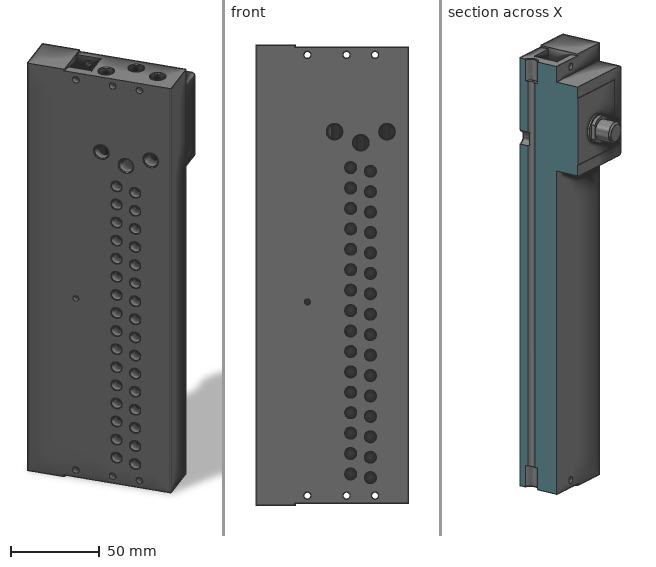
import cadquery as cq

UP = (0, 0, 1)
DOWN = (0, 0, -1)
INWARD = (0, 1, 0)

WIDTH = 86.0
BODY_DEPTH = 25.0
HEIGHT = 259.0
EDGE_RADIUS = 0.65

PAD_WIDTH = 22.3
PAD_HEIGHT = 1.0

CHANNEL_X = (PAD_WIDTH, 36.5)
CHANNEL_Y = (5.5, 21.0)

PORT_DIAMETER = 8.3
PORT_CHAMFER = 0.5
BORE_DIAMETER = 6.0
END_PORT_DEPTH = 13.0
FRONT_PORT_SETBACK = 1.8
LOW_PORT_Z = 204.0
HIGH_PORT_Z = 210.3
GALLERIES = [
    (44.3, 45.0, 8.0, HIGH_PORT_Z),
    (59.0, 59.0, 17.0, LOW_PORT_Z),
    (73.8, 73.0, 11.7, HIGH_PORT_Z),
]

OUTLET_DIAMETER = 6.2
OUTLET_CHAMFER = 0.3
OUTLET_DEPTH = 7.8
OUTLET_COUNT = 16
OUTLET_SPAN = 172.5
OUTLET_PITCH = OUTLET_SPAN / (OUTLET_COUNT - 1)
OUTLET_COLUMNS = [(53.4, 190.0), (64.5, 188.0)]

MOUNT_DIAMETER = 4.0
MOUNT_XS = (29.0, 51.0, 67.0)
MOUNT_INSET = 5.5
LOCATING_DIAMETER = 3.4
LOCATING_DEPTH = CHANNEL_Y[0]
LOCATING_Z = 114.5

BOX_DEPTH = 14.5
BOX_BOTTOM = 195.0
BOX_HEIGHT = 53.5
BOX_RADIUS = 2.0
BOX_BACK = BODY_DEPTH + BOX_DEPTH

LABEL_MARGIN = 6.7
LABEL_THICKNESS = 0.3

CONNECTOR_X = 25.5
CONNECTOR_Z = 218.5
FLANGE_DIAMETER = 17.0
FLANGE_END = 41.2
COLLAR_DIAMETER = 15.5
COLLAR_FLATS = 13.0
COLLAR_END = 43.5
PLUG_DIAMETER = 12.2
PLUG_END = 53.5
PLUG_CHAMFER = 1.0


def block(x_range, y_range, z_range):
    """Box between the given limits."""
    size = [high - low for low, high in (x_range, y_range, z_range)]
    return cq.Workplane("XY").box(*size, centered=False).translate(
        (x_range[0], y_range[0], z_range[0])
    )


def hole(origin, direction, diameter, depth, chamfer=0):
    """Cylinder from a mouth at origin into the part, flared by chamfer at the mouth."""
    start = cq.Vector(*origin)
    axis = cq.Vector(*direction)
    radius = diameter / 2
    tool = cq.Workplane(cq.Solid.makeCylinder(radius, depth, start, axis))
    if chamfer:
        tool = tool.union(cq.Workplane(cq.Solid.makeCone(radius + chamfer, radius, chamfer, start, axis)))
    return tool


def rod_y(x, z, diameter, start, end):
    """Cylinder along +Y from start to end."""
    return hole((x, start, z), INWARD, diameter, end - start)


def make_body():
    """Manifold block with the raised pads at both ends of its left side."""
    low, high = PAD_HEIGHT, HEIGHT - PAD_HEIGHT
    main = block((0, WIDTH), (0, BODY_DEPTH), (low, high)).edges("|Z").fillet(EDGE_RADIUS)
    for pad_bottom in (0, high):
        pad = block((0, PAD_WIDTH), (0, BODY_DEPTH), (pad_bottom, pad_bottom + PAD_HEIGHT))
        main = main.union(pad.edges("|Z").fillet(EDGE_RADIUS))
    return main


def cut_galleries(body):
    """Galleries with a wider port at both ends and one on the front face."""
    for port_x, bore_x, y, z in GALLERIES:
        body = body.cut(hole((bore_x, y, 0), UP, BORE_DIAMETER, HEIGHT))
        ports = [
            ((port_x, y, PAD_HEIGHT), UP, END_PORT_DEPTH),
            ((port_x, y, HEIGHT - PAD_HEIGHT), DOWN, END_PORT_DEPTH),
            ((port_x, 0, z), INWARD, y - FRONT_PORT_SETBACK),
        ]
        for mouth, direction, depth in ports:
            body = body.cut(hole(mouth, direction, PORT_DIAMETER, depth, PORT_CHAMFER))
    return body


def cut_front_holes(body):
    """Outlet columns, mounting holes and the locating hole."""
    for x, top_z in OUTLET_COLUMNS:
        for row in range(OUTLET_COUNT):
            mouth = (x, 0, top_z - row * OUTLET_PITCH)
            body = body.cut(hole(mouth, INWARD, OUTLET_DIAMETER, OUTLET_DEPTH, OUTLET_CHAMFER))
    for x in MOUNT_XS:
        for z in (MOUNT_INSET, HEIGHT - MOUNT_INSET):
            body = body.cut(rod_y(x, z, MOUNT_DIAMETER, 0, BODY_DEPTH))
    return body.cut(rod_y(MOUNT_XS[0], LOCATING_Z, LOCATING_DIAMETER, 0, LOCATING_DEPTH))


def make_box():
    """Electronics box with rounded corners and its label plate."""
    box_z = (BOX_BOTTOM, BOX_BOTTOM + BOX_HEIGHT)
    box = block((0, WIDTH), (BODY_DEPTH, BOX_BACK), box_z).edges("|Y").fillet(BOX_RADIUS)
    label = block(
        (LABEL_MARGIN, WIDTH - LABEL_MARGIN),
        (BOX_BACK, BOX_BACK + LABEL_THICKNESS),
        (box_z[0] + LABEL_MARGIN, box_z[1] - LABEL_MARGIN),
    )
    return box.union(label)


def make_connector():
    """Flange, collar with two flats, and a plug with a chamfered tip."""
    flange = rod_y(CONNECTOR_X, CONNECTOR_Z, FLANGE_DIAMETER, BOX_BACK, FLANGE_END)
    half_flats = COLLAR_FLATS / 2
    collar = rod_y(CONNECTOR_X, CONNECTOR_Z, COLLAR_DIAMETER, FLANGE_END, COLLAR_END).intersect(
        block(
            (CONNECTOR_X - half_flats, CONNECTOR_X + half_flats),
            (FLANGE_END, COLLAR_END),
            (CONNECTOR_Z - COLLAR_DIAMETER, CONNECTOR_Z + COLLAR_DIAMETER),
        )
    )
    plug = rod_y(CONNECTOR_X, CONNECTOR_Z, PLUG_DIAMETER, COLLAR_END, PLUG_END)
    tip = plug.faces(">Y").chamfer(PLUG_CHAMFER)
    return flange.union(collar).union(tip)


channel = block(CHANNEL_X, CHANNEL_Y, (0, HEIGHT))
manifold = cut_front_holes(cut_galleries(make_body().cut(channel)))
result = manifold.union(make_box()).union(make_connector())